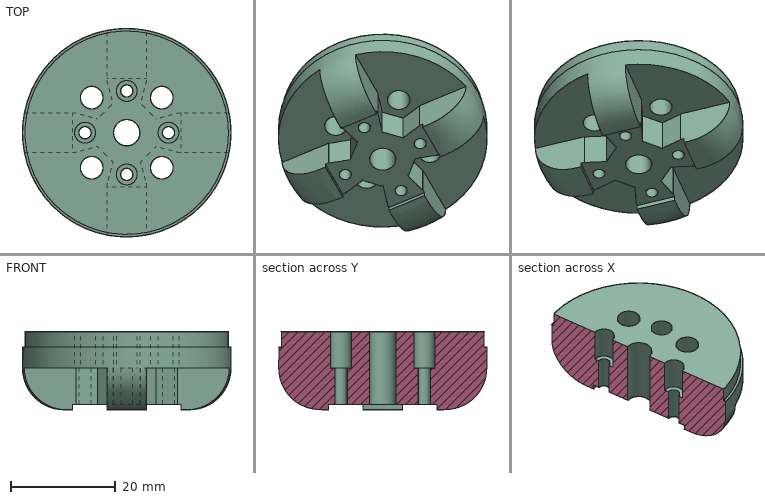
import cadquery as cq
import math

total_height = 15.0
rim_height = 3.0
flange_height = 4.0
claw_height = total_height - rim_height - flange_height
rim_base_z = claw_height + flange_height

flange_diameter = 40.0
rim_diameter = 39.0

claw_width = 7.6
core_diameter = 12.0
claw_fillet = claw_height
relief_side = 20.8
relief_depth = 1.0

center_hole_diameter = 5.0
bolt_hole_diameter = 4.3
bolt_circle_radius = 9.5
nut_across_flats = 7.3
screw_hole_diameter = 2.3
screw_head_diameter = 4.0
screw_head_depth = rim_height + flange_height
screw_circle_radius = 8.0

quarter_turns = [0, 90, 180, 270]
diagonal_angle = 45
hexagon_half_step = 30


def disc(diameter, bottom_z, top_z):
    """Upright cylinder on the Z axis between two heights."""
    base = cq.Workplane("XY", origin=(0, 0, bottom_z))
    return base.circle(diameter / 2).extrude(top_z - bottom_z)


def turned(shape, angle):
    """Copy of a shape turned about the Z axis."""
    return shape.rotate((0, 0, 0), (0, 0, 1), angle)


def make_plate():
    """Flange disc with the slightly smaller rim disc on top."""
    flange = disc(flange_diameter, claw_height, rim_base_z)
    rim = disc(rim_diameter, rim_base_z, total_height)
    return flange.union(rim)


def make_claws():
    """Two crossed bars and a round core, rounded at the outer rim, with a shallow square relief below."""
    flat_radius = flange_diameter / 2 - claw_fillet
    arc_offset = claw_fillet * math.sin(math.radians(diagonal_angle))
    bowl = (
        cq.Workplane("XZ")
        .lineTo(flat_radius, 0)
        .threePointArc(
            (flat_radius + arc_offset, claw_fillet - arc_offset),
            (flange_diameter / 2, claw_fillet),
        )
        .lineTo(0, claw_fillet)
        .close()
        .revolve(360, (0, 0), (0, 1))
    )
    on_floor = (True, True, False)
    bar_x = cq.Workplane("XY").box(flange_diameter, claw_width, claw_height, centered=on_floor)
    bar_y = cq.Workplane("XY").box(claw_width, flange_diameter, claw_height, centered=on_floor)
    relief = cq.Workplane("XY").box(relief_side, relief_side, relief_depth, centered=on_floor)
    core = disc(core_diameter, 0, claw_height)
    cross = bar_x.union(bar_y).union(core)
    return bowl.intersect(cross).cut(relief)


def cut_center_hole(body):
    hole = disc(center_hole_diameter, 0, total_height)
    return body.cut(hole)


def cut_bolt_holes(body):
    """Diagonal bolt holes with a hexagonal nut seat below the plate, one flat facing the center."""
    nut_across_corners = nut_across_flats / math.cos(math.radians(hexagon_half_step))
    hole = disc(bolt_hole_diameter, 0, total_height)
    nut_seat = cq.Workplane("XY").polygon(6, nut_across_corners).extrude(claw_height)
    nut_seat = turned(nut_seat, hexagon_half_step)
    cutter = hole.union(nut_seat).translate((bolt_circle_radius, 0, 0))
    for turn in quarter_turns:
        body = body.cut(turned(cutter, turn + diagonal_angle))
    return body


def cut_screw_holes(body):
    """Screw holes on the claw axes, counterbored from the top."""
    hole = disc(screw_hole_diameter, 0, total_height)
    head = disc(screw_head_diameter, total_height - screw_head_depth, total_height)
    cutter = hole.union(head).translate((screw_circle_radius, 0, 0))
    for turn in quarter_turns:
        body = body.cut(turned(cutter, turn))
    return body


body = make_plate().union(make_claws())
body = cut_center_hole(body)
body = cut_bolt_holes(body)
result = cut_screw_holes(body)